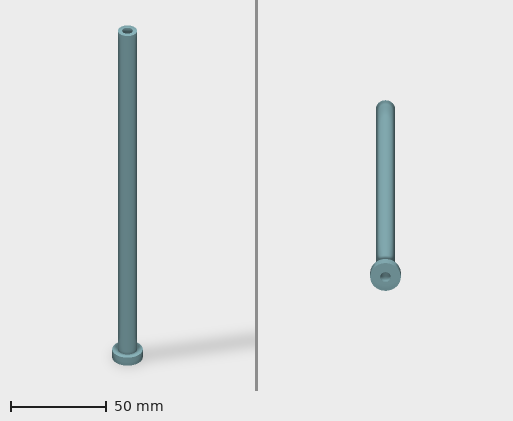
import cadquery as cq

total_length = 205.0
head_diameter = 16.0
head_height = 5.0
tube_diameter = 10.0
bore_diameter = 5.5


def cylinder(diameter, height):
    """Upright cylinder centred on the Z axis, standing on Z = 0."""
    return cq.Workplane("XY").circle(diameter / 2).extrude(height)


head = cylinder(head_diameter, head_height)
tube = cylinder(tube_diameter, total_length)
through_bore = cylinder(bore_diameter, total_length)

result = head.union(tube).cut(through_bore)